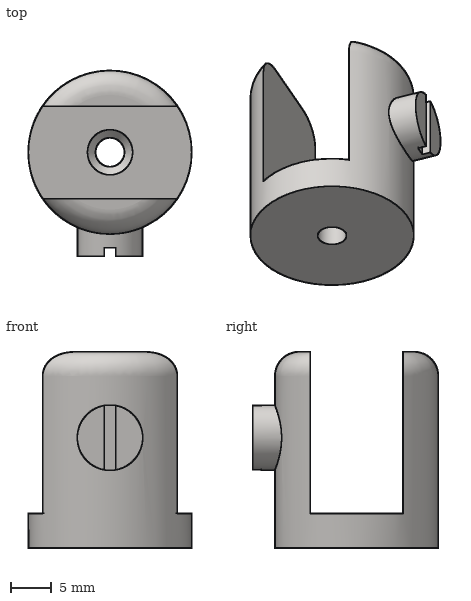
import cadquery as cq

body_diameter = 20.0
body_height = 24.0
top_fillet = 3.0

channel_width = 11.3
floor_thickness = 4.25

hole_diameter = 3.5
countersink_diameter = 5.52
countersink_angle = 90.0

screw_diameter = 8.0
screw_height = 13.5
screw_protrusion = 2.7
driver_slot_width = 1.35
driver_slot_depth = 1.03

body_radius = body_diameter / 2
screw_face_y = -(body_radius + screw_protrusion)


def make_body():
    """Cylinder with a rounded top edge, split into two jaws by the channel."""
    cylinder = cq.Workplane("XY").circle(body_radius).extrude(body_height)
    rounded = cylinder.faces(">Z").edges().fillet(top_fillet)
    channel = (
        cq.Workplane("XY")
        .workplane(offset=floor_thickness)
        .rect(body_diameter, channel_width)
        .extrude(body_height - floor_thickness)
    )
    return rounded.cut(channel)


def add_mounting_hole(body):
    """Drill through the floor and countersink it from the channel side."""
    return (
        body.copyWorkplane(cq.Workplane("XY", origin=(0, 0, floor_thickness)))
        .pushPoints([(0, 0)])
        .cskHole(hole_diameter, countersink_diameter, countersink_angle, depth=floor_thickness)
    )


def make_screw_head():
    """Screw head reaching back to the channel wall, with a vertical driver slot."""
    head_length = -channel_width / 2 - screw_face_y
    head = (
        cq.Workplane("XZ", origin=(0, screw_face_y, screw_height))
        .circle(screw_diameter / 2)
        .extrude(-head_length)
    )
    driver_slot = (
        cq.Workplane("XZ", origin=(0, screw_face_y, screw_height))
        .rect(driver_slot_width, screw_diameter)
        .extrude(-driver_slot_depth)
    )
    return head.cut(driver_slot)


result = add_mounting_hole(make_body()).union(make_screw_head())